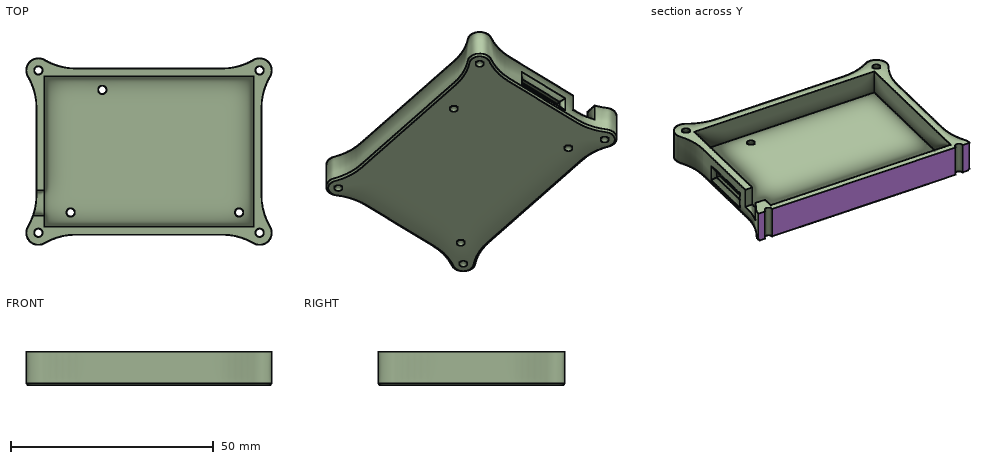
import cadquery as cq

BODY_LENGTH = 55.5
BODY_WIDTH = 41.0
HEIGHT = 8.3
WALL = 2.0
FLOOR = 2.0
BOTTOM_CHAMFER = 0.5

LUG_RADIUS = 3.0
LUG_X = 27.25
LUG_Y = 20.0
LUG_CENTERS = [(x, y) for x in (-LUG_X, LUG_X) for y in (-LUG_Y, LUG_Y)]
BLEND_RADIUS = 15.0

HOLE_DIAMETER = 2.0
BOARD_HOLES = [(-11.5, 15.2), (-19.3, -15.0), (22.2, -15.0)]

WINDOW_WIDTH = 12.0
WINDOW_HEIGHT = 2.0
WINDOW_Z = 3.45
FLARE_SIDE = 1.0
FLARE_VERTICAL = 1.1
FLARE_DEPTH = 1.0

NOTCH_Y_MIN = -15.75
NOTCH_Y_MAX = -9.55
NOTCH_FLOOR_Z = 3.2

HALF_LENGTH = BODY_LENGTH / 2


def make_body():
    plate = cq.Workplane("XY").rect(BODY_LENGTH, BODY_WIDTH).extrude(HEIGHT)
    lugs = cq.Workplane("XY").pushPoints(LUG_CENTERS).circle(LUG_RADIUS).extrude(HEIGHT)
    blended = plate.union(lugs).edges("|Z").fillet(BLEND_RADIUS)
    return blended.faces("<Z").chamfer(BOTTOM_CHAMFER)


def make_cavity():
    return (
        cq.Workplane("XY")
        .workplane(offset=FLOOR)
        .rect(BODY_LENGTH - 2 * WALL, BODY_WIDTH - 2 * WALL)
        .extrude(HEIGHT - FLOOR)
    )


def make_holes():
    return (
        cq.Workplane("XY")
        .pushPoints(LUG_CENTERS + BOARD_HOLES)
        .circle(HOLE_DIAMETER / 2)
        .extrude(HEIGHT)
    )


def make_window():
    outside = cq.Workplane("YZ", origin=(-HALF_LENGTH, 0, WINDOW_Z))
    opening = outside.rect(WINDOW_WIDTH, WINDOW_HEIGHT).extrude(WALL)
    flare = (
        outside.rect(WINDOW_WIDTH + 2 * FLARE_SIDE, WINDOW_HEIGHT + 2 * FLARE_VERTICAL)
        .workplane(offset=FLARE_DEPTH)
        .rect(WINDOW_WIDTH, WINDOW_HEIGHT)
        .loft(ruled=True)
    )
    return opening.union(flare)


def make_notch():
    outer_x = -(LUG_X + LUG_RADIUS)
    inner_x = -(HALF_LENGTH - WALL)
    return (
        cq.Workplane("XY", origin=(outer_x, NOTCH_Y_MIN, NOTCH_FLOOR_Z))
        .box(inner_x - outer_x, NOTCH_Y_MAX - NOTCH_Y_MIN, HEIGHT - NOTCH_FLOOR_Z, centered=False)
    )


result = make_body().cut(make_cavity()).cut(make_holes()).cut(make_window()).cut(make_notch())